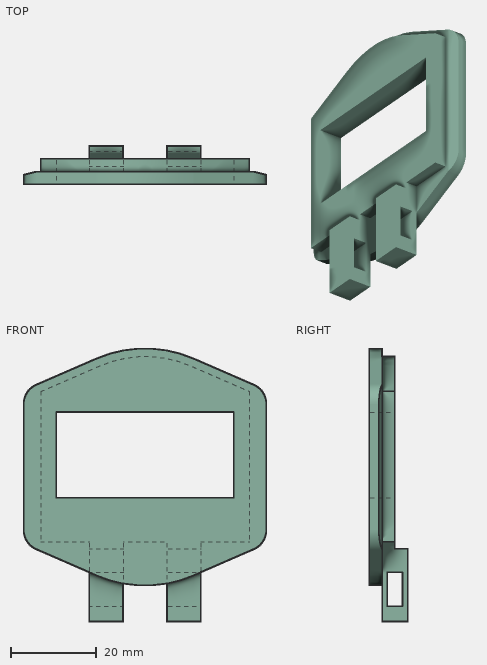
import cadquery as cq
import math

layer = 3.0
plate_width = 56.7
plate_height = 55.4
crown_radius = 28.4
corner_radius = 5.0
slope_angle = math.radians(23.5)

step_side = 4.0
step_crown = 1.85

rear_plate_bottom_z = -17.5

bevel_depth = 0.75
bevel_width = 2.95

window_width = 41.35
window_height = 20.0
window_center_z = 2.8

leg_width = 7.9
leg_rear_height = 17.05
leg_center_x = 9.05
overall_height = 63.8
leg_bottom_z = plate_height / 2 - overall_height

slot_depth = 3.5
slot_height = 7.85
slot_front_y = 4.2
slot_above_leg_bottom = 3.65


def block(x_size, y_start, y_end, z_size, x_center, z_center):
    """Box placed by its X and Z centre and its Y range."""
    y_center = (y_start + y_end) / 2
    return cq.Workplane("XY").box(x_size, y_end - y_start, z_size).translate((x_center, y_center, z_center))


def crowned_plate(width, height, radius, y_front):
    """Plate with straight sides and a tangent arc between sloped shoulders at both ends."""
    side_x = width / 2
    crown_z = height / 2
    tangent_x = radius * math.sin(slope_angle)
    tangent_z = crown_z - radius * (1 - math.cos(slope_angle))
    shoulder_z = tangent_z - (side_x - tangent_x) * math.tan(slope_angle)
    return (
        cq.Workplane("XZ", origin=(0, y_front, 0))
        .moveTo(-side_x, -shoulder_z)
        .lineTo(-side_x, shoulder_z)
        .lineTo(-tangent_x, tangent_z)
        .threePointArc((0, crown_z), (tangent_x, tangent_z))
        .lineTo(side_x, shoulder_z)
        .lineTo(side_x, -shoulder_z)
        .lineTo(tangent_x, -tangent_z)
        .threePointArc((0, -crown_z), (-tangent_x, -tangent_z))
        .close()
        .extrude(-layer)
    )


def side_bevel(side):
    """Wedge removed from the rear edge of one side; side is -1 or 1."""
    edge_x = side * plate_width / 2
    return (
        cq.Workplane("XY")
        .moveTo(edge_x, layer - bevel_depth)
        .lineTo(edge_x, layer)
        .lineTo(edge_x - side * bevel_width, layer)
        .close()
        .extrude(plate_height / 2, both=True)
    )


def leg_layer(height, y_front, x_center):
    """One layer of a leg, standing on the leg's bottom face."""
    return block(leg_width, y_front, y_front + layer, height, x_center, leg_bottom_z + height / 2)


def slotted_leg(side):
    """Strap leg whose front layer reaches the rear plate, slotted through along X."""
    leg_x = side * leg_center_x
    slot_z = leg_bottom_z + slot_above_leg_bottom + slot_height / 2
    front_layer = leg_layer(rear_plate_bottom_z - leg_bottom_z, layer, leg_x)
    rear_layer = leg_layer(leg_rear_height, 2 * layer, leg_x)
    slot = block(leg_width, slot_front_y, slot_front_y + slot_depth, slot_height, leg_x, slot_z)
    return front_layer.union(rear_layer).cut(slot)


front_plate = crowned_plate(plate_width, plate_height, crown_radius, 0)
front_plate = front_plate.edges("|Y and (<X or >X)").fillet(corner_radius)
for side in (-1, 1):
    front_plate = front_plate.cut(side_bevel(side))

rear_plate = crowned_plate(
    plate_width - 2 * step_side, plate_height - 2 * step_crown, crown_radius - step_crown, layer
)
below_rear_plate = block(
    plate_width, layer, 2 * layer, plate_height, 0, rear_plate_bottom_z - plate_height / 2
)
rear_plate = rear_plate.cut(below_rear_plate)
result = front_plate.union(rear_plate)

result = result.cut(block(window_width, 0, 2 * layer, window_height, 0, window_center_z))

for side in (-1, 1):
    result = result.union(slotted_leg(side))